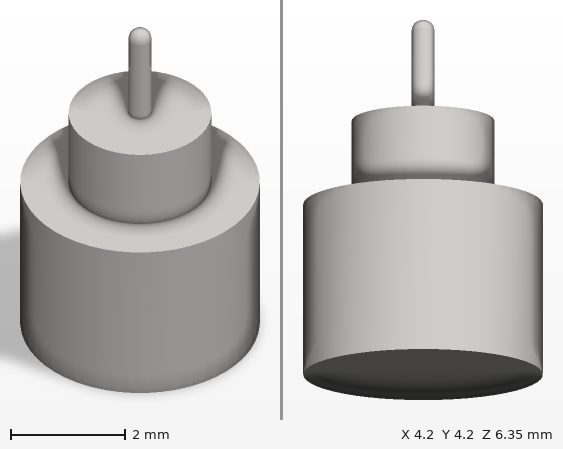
import cadquery as cq

total_height = 6.35
body_diameter = 4.2
body_height = 3.05
collar_diameter = 2.5
collar_height = 1.5
pin_diameter = 0.4
tip_rounding = 0.185

pin_height = total_height - body_height - collar_height


def stacked_cylinder(diameter, height, base_z):
    """Upright cylinder on the Z axis, starting at base_z."""
    return cq.Workplane("XY").workplane(offset=base_z).circle(diameter / 2).extrude(height)


body = stacked_cylinder(body_diameter, body_height, 0)
collar = stacked_cylinder(collar_diameter, collar_height, body_height)

pin = stacked_cylinder(pin_diameter, pin_height, body_height + collar_height)
pin = pin.faces(">Z").edges().fillet(tip_rounding)

result = body.union(collar).union(pin)